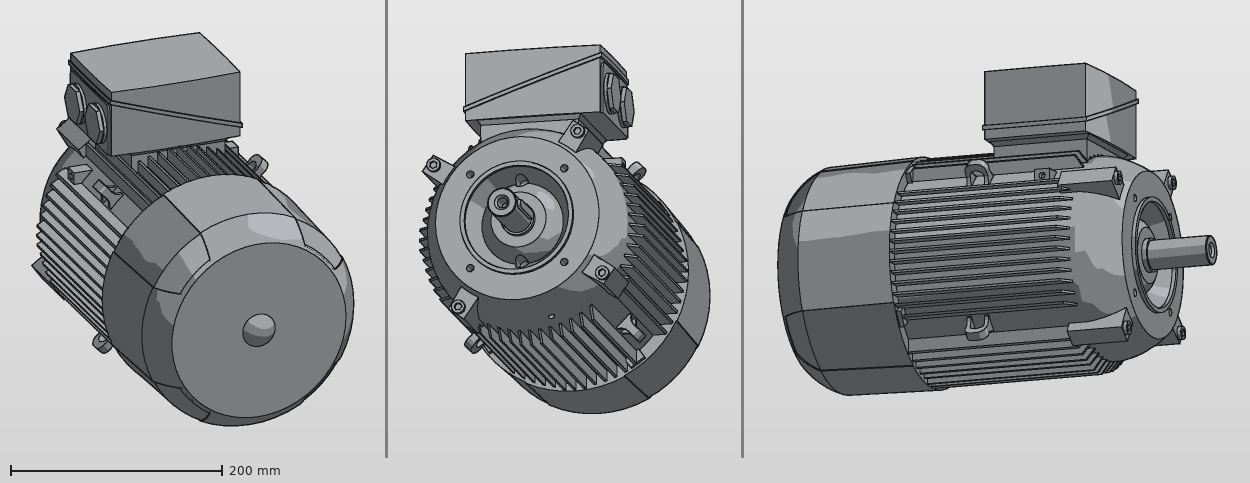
import cadquery as cq
import math


spigot_x = 56.5
flange_x = 60.0
barrel_x = 101.0
cover_x = 285.0
cover_bend_x = 379.0
cover_back_x = 407.0
motor_length = 414.0

shaft_r = 14.0
shaft_chamfer = 1.0
drill_point_angle = 118.0
centre_hole_d = 10.0
centre_hole_mouth_d = 14.5
centre_hole_depth = 20.5
shoulder_x = flange_x
shoulder_r = 16.0
key_width = 8.0
key_start_x = 6.0
key_end_x = 56.0
key_top_r = 17.0

flange_r = 80.0
shield_mid_x = 80.7
shield_mid_r = 92.0
spigot_r = 55.0
bowl_mouth_r = 51.0
bowl_floor_r = 39.7
bowl_floor_x = 81.0
bowl_lip_x = flange_x
hub_face_r = 27.0
hub_face_x = 65.0
hub_bulge = 1.5
hub_mid_x = (hub_face_x + bowl_floor_x) / 2 - hub_bulge
hub_mid_r = (hub_face_r + bowl_floor_r) / 2 + hub_bulge
flange_bolt_circle_r = 65.0
flange_hole_d = 7.0
flange_hole_depth = 16.5
bowl_hole_d = 12.0
bowl_hole_depth = 12.5
drain_x = 88.5
drain_y = -26.5
drain_d = 6.0
drain_top = 85.0

barrel_r = 97.5
fin_count_each_side = 6
outermost_fin = 60.0
fin_pitch = outermost_fin / fin_count_each_side
fin_thickness = 2.0
fin_start_x = 107.0
fin_full_x = 116.0
fin_r = 107.5
middle_fin_r = 109.7

cover_r = 111.0
cover_bend_r = 108.5
cover_back_r = 89.0
cover_arc_x = 394.0
cover_arc_r = 100.5
cap_r = 16.5
cap_height = motor_length - cover_back_x
cap_sphere_r = (cap_r**2 + cap_height**2) / (2 * cap_height)
cap_mid_x = motor_length - cap_sphere_r + math.sqrt(cap_sphere_r**2 - (cap_r / 2) ** 2)
panel_inner = 48.5
panel_end_x = 403.2
panel_depth = 1.0

quarter_turn = 90.0
diagonal = quarter_turn / 2
lug_angle = 35.3
lug_start_x = 65.0
lug_end_x = 120.5
lug_inner_r = 82.5
lug_outer_r = 107.5
lug_wide_side = 10.8
lug_narrow_side = 8.0
lug_root_side = 10.0
bolt_circle_r = 101.0
bolt_head_d = 13.0
bolt_head_height = 3.7
bolt_socket = 7.5
bolt_socket_depth = 3.0
tab_angle = quarter_turn - lug_angle
tab_length = 4.5
tab_width = 16.5
eye_x = 208.2
eye_length = 21.5
eye_thickness = 8.5
eye_outer_r = 119.5
eye_slot_width = 14.0
eye_slot_top_r = 112.5
eye_corner = 8.3
eye_root_r = 99.5
eye_root_width = 18.2
eye_straight_r = 111.5
eye_root_hollow = 1.5

inside_barrel_r = 83.0

earth_x = 140.0
earth_length = 15.5
earth_bottom_z = outermost_fin
earth_top_z = 73.0
earth_outer_y = 84.0
earth_hole_d = 6.0
earth_hole_depth = 6.2

box_x = 155.5
box_length = 107.5
box_side_bow = 2.5
box_end_bow = 1.0
box_front_y = -71.0
box_back_y = 62.5
box_bottom_z = 111.5
box_top_z = 177.0
neck_length = 95.0
neck_width = 95.5
neck_top_z = 107.0
neck_flare = 3.0
band_front_z = 165.5
band_back_z = 120.0
band_thickness = 4.0
band_overhang = 1.5
gland_plate_length = 95.5
gland_plate_top_z = 162.3
gland_plate_thickness = 1.2
gland_plate_radius = 6.2
plug_spacing = 51.0
plug_z = 135.8
plug_d = 39.0
plug_collar = 3.0
plug_head = 4.0


def revolve_about_shaft(profile):
    """Turn a closed (X, radius) profile about the X axis."""
    return profile.close().revolve(360, (0, 0, 0), (1, 0, 0))


def across(x):
    """Workplane square to the shaft at station x, local axes Y and Z."""
    return cq.Workplane("YZ", origin=(x, 0, 0))


def box_between(x0, x1, y0, y1, z0, z1):
    return cq.Workplane("XY", origin=(x0, y0, z0)).box(x1 - x0, y1 - y0, z1 - z0, centered=False)


def around_axis(shape, first_angle):
    """Four copies of a shape about the shaft; zero angle is +Y, turning toward +Z."""
    ring = cq.Workplane("XY")
    for index in range(4):
        ring = ring.add(shape.rotate((0, 0, 0), (1, 0, 0), first_angle + index * quarter_turn))
    return ring.combine()


def radial_bar(x0, x1, inner_r, outer_r, width):
    """Rectangular bar reaching outward along +Y."""
    return box_between(x0, x1, inner_r, outer_r, -width / 2, width / 2)


def drilled_hole(x, y, z, diameter, depth):
    """Blind hole along +X with a conical drill point."""
    radius = diameter / 2
    tip = depth + radius / math.tan(math.radians(drill_point_angle / 2))
    profile = cq.Workplane("XY").polyline([(0, 0), (0, radius), (depth, radius), (tip, 0)])
    return revolve_about_shaft(profile).translate((x, y, z))


def make_core():
    """End shield, barrel and fan cover as one turned body."""
    profile = (
        cq.Workplane("XY")
        .moveTo(hub_face_x, 0)
        .lineTo(hub_face_x, hub_face_r)
        .threePointArc((hub_mid_x, hub_mid_r), (bowl_floor_x, bowl_floor_r))
        .lineTo(bowl_lip_x, bowl_mouth_r)
        .lineTo(spigot_x, bowl_mouth_r)
        .lineTo(spigot_x, spigot_r)
        .lineTo(flange_x, spigot_r)
        .lineTo(flange_x, flange_r)
        .threePointArc((shield_mid_x, shield_mid_r), (barrel_x, barrel_r))
        .lineTo(cover_x, barrel_r)
        .lineTo(cover_x, cover_r)
        .lineTo(cover_bend_x, cover_bend_r)
        .threePointArc((cover_arc_x, cover_arc_r), (cover_back_x, cover_back_r))
        .lineTo(cover_back_x, cap_r)
        .threePointArc((cap_mid_x, cap_r / 2), (motor_length, 0))
    )
    return revolve_about_shaft(profile)


def make_fins():
    """Parallel plates, level on the sides and upright above and below, trimmed to a round envelope."""
    fins = cq.Workplane("XY")
    for index in range(-fin_count_each_side, fin_count_each_side + 1):
        outer_r = middle_fin_r if abs(index) <= 1 else fin_r
        envelope = revolve_about_shaft(
            cq.Workplane("XY").polyline(
                [
                    (fin_start_x, 0),
                    (fin_start_x, barrel_r),
                    (fin_full_x, outer_r),
                    (cover_x, outer_r),
                    (cover_x, 0),
                ]
            )
        )
        offset = index * fin_pitch
        level = box_between(
            fin_start_x, cover_x, -cover_r, cover_r, offset - fin_thickness / 2, offset + fin_thickness / 2
        )
        upright = level.rotate((0, 0, 0), (1, 0, 0), quarter_turn)
        fins = fins.add(level.union(upright).intersect(envelope))
    return fins.combine()


def cut_cover_panels(body):
    """Shallow corner panels on the four diagonals of the fan cover."""
    shell = revolve_about_shaft(
        cq.Workplane("XY")
        .moveTo(cover_x, cover_r - panel_depth)
        .lineTo(cover_bend_x, cover_bend_r - panel_depth)
        .threePointArc(
            (cover_arc_x - panel_depth, cover_arc_r - panel_depth),
            (cover_back_x - panel_depth, cover_back_r - panel_depth),
        )
        .lineTo(motor_length, cover_back_r)
        .lineTo(motor_length, 2 * cover_r)
        .lineTo(cover_x, 2 * cover_r)
    )
    corner = box_between(cover_x, panel_end_x, panel_inner, cover_r, panel_inner, cover_r)
    return body.cut(around_axis(corner.intersect(shell), 0))


def make_shaft():
    shaft = across(0).circle(shaft_r).extrude(bowl_floor_x).faces("<X").chamfer(shaft_chamfer)
    shoulder = across(shoulder_x).circle(shoulder_r).extrude(bowl_floor_x - shoulder_x)
    key_length = key_end_x - key_start_x
    key = (
        cq.Workplane("XZ", origin=((key_start_x + key_end_x) / 2, 0, 0))
        .slot2D(key_length, key_width)
        .extrude(key_top_r)
    )
    mouth_depth = (centre_hole_mouth_d - centre_hole_d) / 2
    mouth = (
        across(0)
        .circle(centre_hole_mouth_d / 2)
        .workplane(offset=mouth_depth)
        .circle(centre_hole_d / 2)
        .loft()
    )
    centre_hole = drilled_hole(0, 0, 0, centre_hole_d, centre_hole_depth)
    return shaft.union(shoulder).union(key).cut(mouth).cut(centre_hole)


def cut_flange_holes(body):
    hole = drilled_hole(flange_x, flange_bolt_circle_r, 0, flange_hole_d, flange_hole_depth)
    body = body.cut(around_axis(hole, diagonal))
    hole_depth = bowl_floor_x - hub_face_x + bowl_hole_depth
    for side in (-1, 1):
        body = body.cut(drilled_hole(hub_face_x, 0, side * bowl_floor_r, bowl_hole_d, hole_depth))
    return body


def cut_drain_hole(body):
    """Upright drain hole low on the end shield."""
    drain = (
        cq.Workplane("XY", origin=(drain_x, drain_y, -cover_r))
        .circle(drain_d / 2)
        .extrude(cover_r - drain_top)
    )
    return body.cut(drain)


def make_lug():
    head_x = lug_start_x - bolt_head_height
    bar = (
        across(lug_start_x)
        .polyline(
            [
                (lug_inner_r, -lug_wide_side),
                (lug_outer_r, -lug_wide_side),
                (lug_outer_r, lug_narrow_side),
                (lug_inner_r, lug_root_side),
            ]
        )
        .close()
        .extrude(lug_end_x - lug_start_x)
    )
    head = across(head_x).center(bolt_circle_r, 0).circle(bolt_head_d / 2).extrude(bolt_head_height)
    socket = across(head_x).center(bolt_circle_r, 0).polygon(6, bolt_socket).extrude(bolt_socket_depth)
    return bar.union(head).cut(socket)


def make_eye():
    half_tip = eye_thickness / 2
    half_root = eye_root_width / 2
    hollow_r = (eye_root_r + eye_straight_r) / 2 - eye_root_hollow
    hollow_half = (half_tip + half_root) / 2 - eye_root_hollow
    plate = (
        across(eye_x - eye_length / 2)
        .moveTo(inside_barrel_r, half_root)
        .lineTo(eye_root_r, half_root)
        .threePointArc((hollow_r, hollow_half), (eye_straight_r, half_tip))
        .lineTo(eye_outer_r, half_tip)
        .lineTo(eye_outer_r, -half_tip)
        .lineTo(eye_straight_r, -half_tip)
        .threePointArc((hollow_r, -hollow_half), (eye_root_r, -half_root))
        .lineTo(inside_barrel_r, -half_root)
        .close()
        .extrude(eye_length)
        .faces(">Y")
        .edges("|Z")
        .fillet(eye_corner)
    )
    slot_r = eye_slot_width / 2
    slot = (
        cq.Workplane("XY", origin=(eye_x, 0, -eye_root_width / 2))
        .moveTo(-slot_r, inside_barrel_r)
        .lineTo(-slot_r, eye_slot_top_r - slot_r)
        .threePointArc((0, eye_slot_top_r), (slot_r, eye_slot_top_r - slot_r))
        .lineTo(slot_r, inside_barrel_r)
        .close()
        .extrude(eye_root_width)
    )
    return plate.cut(slot)


def make_earth_block():
    """Terminal block on the -Y side, drilled for its screw."""
    block = box_between(
        earth_x - earth_length / 2,
        earth_x + earth_length / 2,
        -earth_outer_y,
        -barrel_r / 2,
        earth_bottom_z,
        earth_top_z,
    )
    hole_z = (earth_bottom_z + earth_top_z) / 2
    hole = (
        cq.Workplane("XZ", origin=(earth_x, -earth_outer_y + earth_hole_depth, hole_z))
        .circle(earth_hole_d / 2)
        .extrude(earth_hole_depth)
    )
    return block.cut(hole)


def box_outline(margin):
    """Terminal box body with four slightly bowed walls, grown outward by a margin."""
    half_length = box_length / 2 + margin
    front_y = box_front_y - margin
    back_y = box_back_y + margin
    corner_x = half_length - box_side_bow
    corner_front_y = front_y + box_end_bow
    corner_back_y = back_y - box_end_bow
    middle_y = (front_y + back_y) / 2
    return (
        cq.Workplane("XY", origin=(box_x, 0, box_bottom_z))
        .moveTo(-corner_x, corner_front_y)
        .threePointArc((0, front_y), (corner_x, corner_front_y))
        .threePointArc((half_length, middle_y), (corner_x, corner_back_y))
        .threePointArc((0, back_y), (-corner_x, corner_back_y))
        .threePointArc((-half_length, middle_y), (-corner_x, corner_front_y))
        .close()
        .extrude(box_top_z - box_bottom_z)
    )


def make_terminal_box():
    half_length = box_length / 2
    housing = box_outline(0)
    neck = (
        cq.Workplane("XY", origin=(box_x, 0, inside_barrel_r))
        .rect(neck_length, neck_width)
        .extrude(box_bottom_z - inside_barrel_r)
    )
    flare = (
        cq.Workplane("XY", origin=(box_x, 0, neck_top_z))
        .rect(neck_length, neck_width)
        .workplane(offset=box_bottom_z - neck_top_z)
        .rect(neck_length + 2 * neck_flare, neck_width + 2 * neck_flare)
        .loft()
    )
    band = (
        across(box_x - half_length - band_overhang)
        .polyline(
            [
                (box_front_y - band_overhang, band_front_z),
                (box_back_y + band_overhang, band_back_z),
                (box_back_y + band_overhang, band_back_z + band_thickness),
                (box_front_y - band_overhang, band_front_z + band_thickness),
            ]
        )
        .close()
        .extrude(box_length + 2 * band_overhang)
        .intersect(box_outline(band_overhang))
    )
    return housing.union(neck).union(flare).union(band).union(make_cable_entries())


def make_cable_entries():
    """Raised plate on the -Y wall of the terminal box with two hexagonal blanking plugs."""
    plate_height = gland_plate_top_z - box_bottom_z
    entries = (
        cq.Workplane("XZ", origin=(box_x, box_front_y + box_end_bow, box_bottom_z + plate_height / 2))
        .rect(gland_plate_length, plate_height)
        .extrude(box_end_bow + gland_plate_thickness)
        .edges("|Y and >Z")
        .fillet(gland_plate_radius)
    )
    collar_y = box_front_y - gland_plate_thickness
    for side in (-1, 1):
        plug_x = box_x + side * plug_spacing / 2
        collar = (
            cq.Workplane("XZ", origin=(plug_x, collar_y, plug_z)).circle(plug_d / 2).extrude(plug_collar)
        )
        head = (
            cq.Workplane("XZ", origin=(plug_x, collar_y - plug_collar, plug_z))
            .polygon(6, plug_d)
            .extrude(plug_head)
        )
        entries = entries.union(collar).union(head)
    return entries


tab = radial_bar(cover_x - tab_length, cover_x, inside_barrel_r, fin_r, tab_width)
earth_block = make_earth_block()

body = cut_cover_panels(make_core())
body = body.union(around_axis(make_lug(), lug_angle))
body = cut_drain_hole(cut_flange_holes(body))
body = body.union(make_shaft()).union(make_fins())
body = body.union(around_axis(tab, tab_angle))
body = body.union(around_axis(make_eye(), diagonal))
body = body.union(earth_block).union(earth_block.mirror("XZ"))
result = body.union(make_terminal_box())